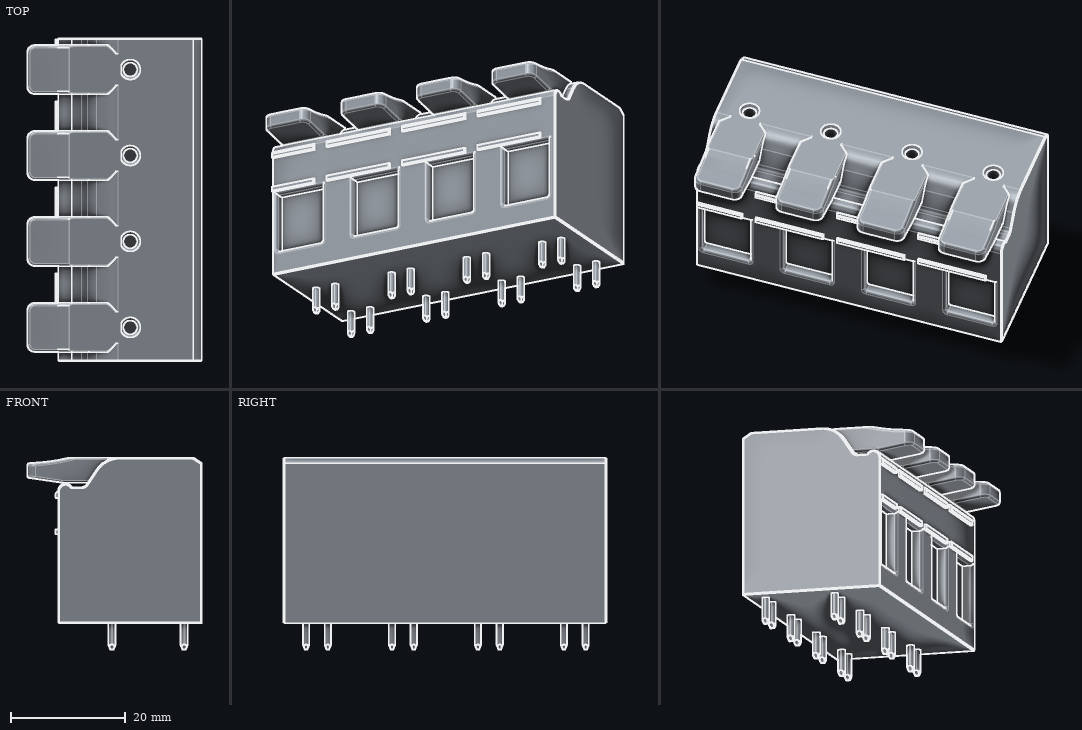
import cadquery as cq
import math

LENGTH = 56.4
DEPTH = 25.1
HEIGHT = 28.9
HALF_LENGTH = LENGTH / 2
BACK_CHAMFER_X = 1.5
BACK_CHAMFER_Z = 0.95
END_CHAMFER = 0.2
FRONT_BOTTOM_CHAMFER = 0.2

LIP_RADIUS = 1.3
LIP_TOP = 24.35
GROOVE_FLOOR = 23.75
GROOVE_END = 4.05
GROOVE_FILLET = 1.2
SLOPE_ANGLE = math.radians(60)
BROW_RADIUS = 4.3
BROW_END = 10.4

POLES = 4
PITCH = 15.0
FIRST_POLE_Y = HALF_LENGTH - 5.5
POLE_Y = [FIRST_POLE_Y - pole * PITCH for pole in range(POLES)]

LEVER_WIDTH = 8.6
LEVER_TIP_X = -5.4
LEVER_TIP_TOP = 27.95
LEVER_TIP_BOTTOM = 25.4
LEVER_BEND_X = 1.9
LEVER_TOP_SAG = 0.2
LEVER_HEEL_X = 0.8
LEVER_HEEL_Z = 24.5
LEVER_TAPER_X = 8.7
LEVER_NECK_WIDTH = 5.5
LEVER_ROOT_X = 11.0
LEVER_CORNER_RADIUS = 1.4
LEVER_TIP_FILLET = 0.5
LEVER_LOWER_FILLET = 0.45
LEVER_FLAT_FILLET = 0.25

HOLE_X = 12.6
HOLE_DIAMETER = 2.4
HOLE_MOUTH_DIAMETER = 3.5
HOLE_DEPTH = 5.0

RIB_LENGTH = 12.5
RIB_OFFSET_Y = 3.2
RIB_PROUD = 0.5
RIB_EDGE_CHAMFER = 0.12
UPPER_RIB_BOTTOM = 21.85
UPPER_RIB_TOP = 23.0
UPPER_RIB_CHAMFER = 0.4
LOWER_RIB_BOTTOM = 15.5
LOWER_RIB_TOP = 16.4

POCKET_WIDTH = 10.0
POCKET_OFFSET_Y = 0.05
POCKET_BOTTOM = 3.8
POCKET_TOP = LOWER_RIB_BOTTOM
POCKET_DEPTH = 1.9
POCKET_CORNER_RADIUS = 0.4
POCKET_MOUTH_FILLET = 0.5

PIN_ROWS_X = (9.4, 22.0)
PIN_SPACING_Y = 3.8
PIN_OFFSET_Y = -0.05
PIN_THICKNESS = 1.15
PIN_WIDTH = 1.3
PIN_LENGTH = 4.6
PIN_TIP_INSET = 0.35
PIN_TIP_LENGTH = 0.9

OVERLAP = 1.0
MARGIN = 0.01


def make_housing():
    """Constant section along Y, with both end outlines chamfered."""
    lip_centre_z = LIP_TOP - LIP_RADIUS
    groove_start = LIP_RADIUS + math.sqrt(LIP_RADIUS**2 - (GROOVE_FLOOR - lip_centre_z) ** 2)
    sin_slope = math.sin(SLOPE_ANGLE)
    cos_slope = math.cos(SLOPE_ANGLE)
    fillet_end = (
        GROOVE_END + GROOVE_FILLET * sin_slope,
        GROOVE_FLOOR + GROOVE_FILLET * (1 - cos_slope),
    )
    brow_start = (
        BROW_END - BROW_RADIUS * sin_slope,
        HEIGHT - BROW_RADIUS * (1 - cos_slope),
    )
    section = (
        cq.Workplane("XZ", origin=(0, HALF_LENGTH, 0))
        .moveTo(FRONT_BOTTOM_CHAMFER, 0)
        .lineTo(0, FRONT_BOTTOM_CHAMFER)
        .lineTo(0, lip_centre_z)
        .threePointArc((LIP_RADIUS, LIP_TOP), (groove_start, GROOVE_FLOOR))
        .lineTo(GROOVE_END, GROOVE_FLOOR)
        .tangentArcPoint(fillet_end, relative=False)
        .lineTo(*brow_start)
        .tangentArcPoint((BROW_END, HEIGHT), relative=False)
        .lineTo(DEPTH - BACK_CHAMFER_X, HEIGHT)
        .lineTo(DEPTH, HEIGHT - BACK_CHAMFER_Z)
        .lineTo(DEPTH, 0)
        .close()
    )
    return section.extrude(LENGTH).faces("<Y or >Y").chamfer(END_CHAMFER)


def rim_selector(x_low, x_high, z_low, z_high):
    """Selects lever edges centred in the given X and Z ranges."""
    return cq.selectors.BoxSelector(
        (x_low - MARGIN / 2, -LEVER_WIDTH, z_low - MARGIN / 2),
        (x_high + MARGIN / 2, LEVER_WIDTH, z_high + MARGIN / 2),
    )


def make_lever(y):
    """Side profile crossed with a plan outline that necks into the housing top."""
    half_width = LEVER_WIDTH / 2
    half_neck = LEVER_NECK_WIDTH / 2
    arc_middle = (
        (LEVER_TIP_X + LEVER_BEND_X) / 2,
        (LEVER_TIP_TOP + HEIGHT) / 2 - LEVER_TOP_SAG,
    )
    side = (
        cq.Workplane("XZ", origin=(0, half_width, 0))
        .moveTo(LEVER_TIP_X, LEVER_TIP_BOTTOM)
        .lineTo(LEVER_TIP_X, LEVER_TIP_TOP)
        .threePointArc(arc_middle, (LEVER_BEND_X, HEIGHT))
        .lineTo(LEVER_ROOT_X, HEIGHT)
        .lineTo(LEVER_ROOT_X, LEVER_HEEL_Z)
        .lineTo(LEVER_HEEL_X, LEVER_HEEL_Z)
        .close()
        .extrude(LEVER_WIDTH)
    )
    plan = (
        cq.Workplane("XY")
        .moveTo(LEVER_TIP_X, -half_width)
        .lineTo(LEVER_TAPER_X, -half_width)
        .lineTo(BROW_END, -half_neck)
        .lineTo(LEVER_ROOT_X, -half_neck)
        .lineTo(LEVER_ROOT_X, half_neck)
        .lineTo(BROW_END, half_neck)
        .lineTo(LEVER_TAPER_X, half_width)
        .lineTo(LEVER_TIP_X, half_width)
        .close()
        .extrude(HEIGHT)
        .edges("|Z and <X")
        .fillet(LEVER_CORNER_RADIUS)
    )
    lever = side.intersect(plan)
    tip_middle_z = (LEVER_TIP_TOP + LEVER_TIP_BOTTOM) / 2
    sloped_rim = rim_selector(LEVER_TIP_X, LEVER_BEND_X - MARGIN, tip_middle_z, HEIGHT - MARGIN)
    lower_rim = rim_selector(LEVER_TIP_X, LEVER_TAPER_X - MARGIN, LEVER_HEEL_Z, LEVER_TIP_BOTTOM)
    flat_rim = rim_selector(LEVER_BEND_X + MARGIN, BROW_END, HEIGHT, HEIGHT)
    lever = lever.edges("not |Z").edges(sloped_rim).fillet(LEVER_TIP_FILLET)
    lever = lever.edges("not |Z").edges(lower_rim).fillet(LEVER_LOWER_FILLET)
    lever = lever.edges("not |Z").edges(flat_rim).fillet(LEVER_FLAT_FILLET)
    return lever.translate((0, y, 0))


def make_rib(y, bottom, top, top_chamfer):
    """Bar on the front face, kept inside the chamfered ends of the housing."""
    y_low = y - RIB_LENGTH / 2
    y_high = min(y + RIB_LENGTH / 2, HALF_LENGTH - END_CHAMFER)
    rib = cq.Workplane("XY").box(
        RIB_PROUD + OVERLAP, y_high - y_low, top - bottom, centered=False
    )
    if top_chamfer:
        rib = rib.edges("<X and >Z").chamfer(top_chamfer)
    rib = rib.faces("<X").chamfer(RIB_EDGE_CHAMFER)
    return rib.translate((-RIB_PROUD, y_low, bottom))


def cut_pocket(body, y):
    """Recess in the front face with rounded bottom corners and a rounded mouth."""
    inner_width = POCKET_WIDTH - 2 * POCKET_MOUTH_FILLET
    inner_height = POCKET_TOP - POCKET_BOTTOM - 2 * POCKET_MOUTH_FILLET
    recess = (
        cq.Workplane("XY")
        .box(POCKET_DEPTH, inner_width, inner_height, centered=(False, True, False))
        .edges("|X and <Z")
        .fillet(POCKET_CORNER_RADIUS)
        .translate((0, y, POCKET_BOTTOM + POCKET_MOUTH_FILLET))
    )
    mouth = cq.selectors.BoxSelector(
        (-MARGIN, y - POCKET_WIDTH / 2, POCKET_BOTTOM),
        (MARGIN, y + POCKET_WIDTH / 2, POCKET_TOP),
    )
    return body.cut(recess).edges(mouth).fillet(POCKET_MOUTH_FILLET)


def make_test_hole(y):
    """Blind hole with a 45 degree countersunk mouth."""
    radius = HOLE_DIAMETER / 2
    mouth_radius = HOLE_MOUTH_DIAMETER / 2
    return (
        cq.Workplane("XZ")
        .moveTo(0, 0)
        .lineTo(mouth_radius, 0)
        .lineTo(radius, radius - mouth_radius)
        .lineTo(radius, -HOLE_DEPTH)
        .lineTo(0, -HOLE_DEPTH)
        .close()
        .revolve(360, (0, 0), (0, 1))
        .translate((HOLE_X, y, HEIGHT))
    )


def make_pin(x, y):
    """Oblong solder pin whose end is cut by four sloping flats."""
    length = PIN_LENGTH + OVERLAP
    shank = cq.Workplane("XY").slot2D(PIN_WIDTH, PIN_THICKNESS).extrude(length)
    pointed_bar = (
        cq.Workplane("XY")
        .box(PIN_WIDTH, PIN_THICKNESS, length, centered=(True, True, False))
        .faces("<Z")
        .chamfer(PIN_TIP_LENGTH, PIN_TIP_INSET)
    )
    return shank.intersect(pointed_bar).translate((x, y, -PIN_LENGTH))


result = make_housing()
for pole_y in POLE_Y:
    rib_y = pole_y + RIB_OFFSET_Y
    result = cut_pocket(result, pole_y + POCKET_OFFSET_Y)
    result = result.cut(make_test_hole(pole_y))
    result = result.union(make_lever(pole_y))
    result = result.union(make_rib(rib_y, UPPER_RIB_BOTTOM, UPPER_RIB_TOP, UPPER_RIB_CHAMFER))
    result = result.union(make_rib(rib_y, LOWER_RIB_BOTTOM, LOWER_RIB_TOP, 0))
    for pin_x in PIN_ROWS_X:
        for side in (-1, 1):
            result = result.union(make_pin(pin_x, pole_y + PIN_OFFSET_Y + side * PIN_SPACING_Y / 2))